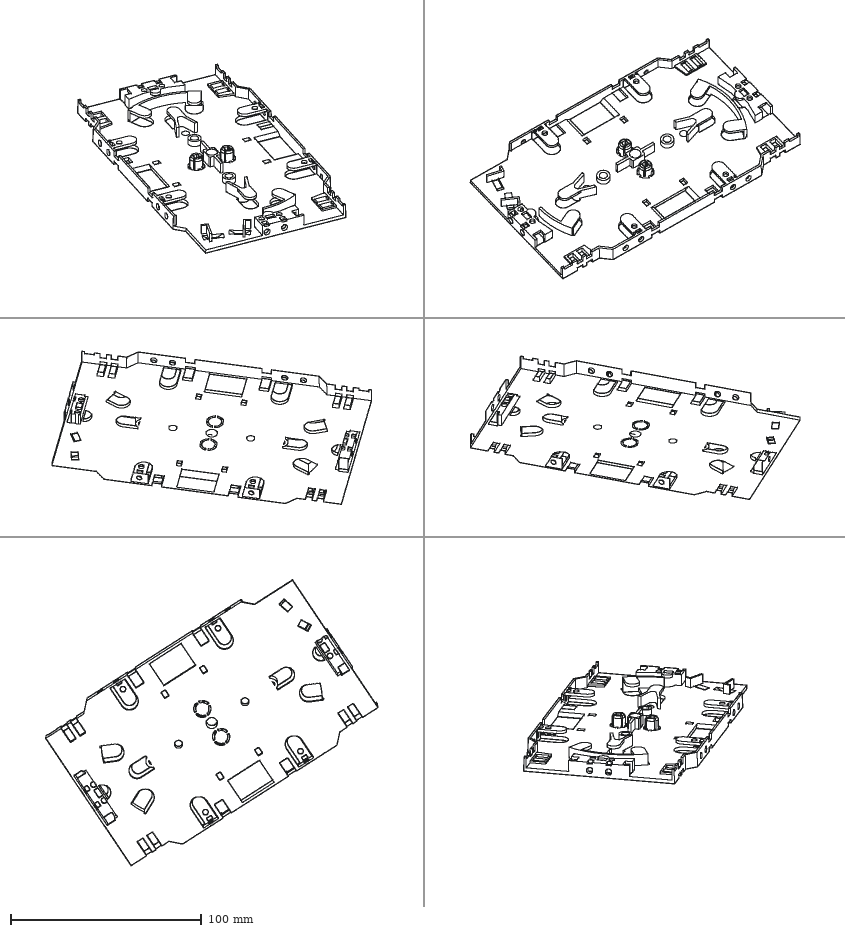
import cadquery as cq
import math

length = 155.0
width = 92.0
half_length = length / 2
half_width = width / 2
plate_thickness = 2.0
wall_top = 8.0
bump_top = 8.5

shoulder_drop = 5.1
shoulder_x = 53.6
wall_draft = 0.3
wall_thickness = 1.47
end_half_width = half_width - shoulder_drop
middle_x = shoulder_x - shoulder_drop
wall_inner_y = half_width - wall_thickness
notch_floor_z = 5.1
end_notch_floor_z = 6.7
end_notch_x = 73.5
end_notch_length = 5.3

wall_slot_x = 20.5
wall_slot_length = 5.1
wall_slot_inner_y = 37.5
window_half_length = 9.9
window_ramp = 2.3
ramp_foot_z = 0.3
window_inner_y = 30.5
small_window_x = 12.1
small_window_y = 26.4
small_window_size = (2.6, 3.7)
pin_hole_xs = (30.0, 40.07)
pin_hole_z = 3.49
pin_hole_outer_diameter = 3.4
pin_hole_inner_diameter = 2.5

tongue_thickness = 1.5
tongue_z = wall_top - tongue_thickness
tongue_x = 29.84
tongue_radius = 3.65
tongue_tip_y = 29.8
tongue_slot_radius = 4.6
tongue_hole_diameter = 3.0
tongue_hole_y = 39.5
tongue_window_size = (3.0, 1.9)
tongue_window_y = 43.5
tongue_slot_recess = 0.3
bump_diameter = 1.25
bump_x = 32.9
bump_y = 43.7

pad_top = 3.02
pad_outer_x = 69.3
pad_inner_x = 54.5
pad_taper = 1.7
pad_inner_y = 31.0
pad_slot_xs = (60.0, 66.0)
pad_slot_length = 3.5
pad_slot_ys = (32.0, 38.6)

bushing_x = 20.85
bushing_diameter = 7.0
bushing_bore = 4.2
bushing_top = 5.1
arc_radius = 42.0
arc_thickness = 1.4
arc_end_angle = 30.7
wing_angle = 25.5
wing_centre_radius = 33.6

vee_half_angle = 19.0
vee_nose_x = 37.4
vee_nose_radius = 1.9
vee_thickness = 1.5
vee_arm_length = 9.0
vee_tongue_x = 46.2
vee_slot_x = 47.0
vee_slot_radius = 4.2
vee_slot_inner_x = 38.8
dome_x = 31.6
dome_diameter = 4.2
dome_height = 0.8

hub_size = (8.2, 6.7)
hub_chamfer = 0.6
hub_bore = 5.9
hub_arm_span = 24.2
hub_arm_thickness = 1.5
post_y = 9.0
post_diameter = 7.0
post_chamfer_height = 1.2
post_chamfer_width = 0.6
post_bore = 3.0
post_slit = 0.8
post_hole_diameter = 9.0
post_spoke = 1.2

bracket_half_length = 16.5
bracket_short_end_y = -7.8
bracket_wide_x = 66.2
bracket_narrow_x = 68.2
bracket_narrow_y = 7.1
bracket_skin = 1.4
bracket_cavity_x = 69.1
bracket_mouth_x = 71.0
bracket_cavity_outer_x = half_length - bracket_skin
bracket_mouth_y = 12.5
bracket_mouth_end_y = 16.0
bracket_tab_x = 68.5
bracket_tab_diameter = 5.9
bracket_tab_hole_diameter = 8.5
bracket_hole_x = 70.91
bracket_hole_y = 5.1
bracket_hole_diameter = 3.0
bracket_window_size = (3.1, 4.8)
bracket_slot_xs = (74.0, 76.0)
bracket_slot_width = 2.8
bracket_slot_floor_z = 7.1

clip_top = 7.1
clip_hole_size = (11.3, 3.7)
clip_ramp = 2.71
clip_wall_length = 9.6
clip_wall_thickness = 1.1
clip_wall_offset = 2.3
clip_leg_length = 3.7


def block(x0, x1, y0, y1, z0, z1):
    """Box between two corners."""
    return cq.Workplane("XY").box(x1 - x0, y1 - y0, z1 - z0, centered=False).translate((x0, y0, z0))


def centred_block(x, y, size, z0, z1):
    """Box of plan size centred on (x, y)."""
    half_x = size[0] / 2
    half_y = size[1] / 2
    return block(x - half_x, x + half_x, y - half_y, y + half_y, z0, z1)


def disc(x, y, diameter, z0, z1):
    """Upright cylinder."""
    return cq.Workplane("XY").workplane(offset=z0).center(x, y).circle(diameter / 2).extrude(z1 - z0)


def prism(points, z0, z1):
    """Extruded polygon."""
    return cq.Workplane("XY").workplane(offset=z0).polyline(points).close().extrude(z1 - z0)


def round_ended(x_tip, x_root, radius, z0, z1):
    """Tongue along X, rounded about x_tip and square at x_root."""
    bar = block(min(x_tip, x_root), max(x_tip, x_root), -radius, radius, z0, z1)
    return bar.union(disc(x_tip, 0, 2 * radius, z0, z1))


def mirror_y(body):
    return body.mirror("XZ")


def both_sides(body):
    """The body together with its mirror image across Y."""
    return body.union(mirror_y(body))


def both_ends(body):
    """The body together with its mirror image across X."""
    return body.union(body.mirror("YZ"))


def edge_line(inset):
    """Points of the +Y edge from -X to +X, moved inward by inset."""
    shift = inset * math.tan(math.radians(22.5))
    left = [
        (-half_length, end_half_width - inset),
        (-shoulder_x + shift, end_half_width - inset),
        (-middle_x + shift, half_width - inset),
    ]
    return left + [(-x, y) for x, y in reversed(left)]


def full_outline(side):
    """Closed outline from the +Y edge points and their mirror image."""
    return side + [(x, -y) for x, y in reversed(side)]


def tray():
    """Plate and both side walls, with the outer faces leaning in towards the top."""
    body = (
        cq.Workplane("XY")
        .polyline(full_outline(edge_line(0)))
        .close()
        .workplane(offset=wall_top)
        .polyline(full_outline(edge_line(wall_draft)))
        .close()
        .loft(ruled=True)
    )
    return body.cut(prism(full_outline(edge_line(wall_thickness)), plate_thickness, wall_top))


def wall_notches():
    """Notches in the top of the +Y wall."""
    cuts = cq.Workplane("XY")
    y0 = end_half_width - 2 * wall_thickness
    notches = [(wall_slot_x, wall_slot_length, notch_floor_z)]
    notches += [(end_notch_x, end_notch_length, end_notch_floor_z)]
    notches += [(x, pad_slot_length, notch_floor_z) for x in pad_slot_xs]
    for x, notch_length, floor in notches:
        notch = block(x - notch_length / 2, x + notch_length / 2, y0, half_width, floor, wall_top)
        cuts = cuts.add(both_ends(notch))
    return cuts.combine()


def pin_hole(mouth, direction):
    """Tapered hole through a wall, its wide mouth on the outer face."""
    cone = cq.Solid.makeCone(
        pin_hole_outer_diameter / 2, pin_hole_inner_diameter / 2, wall_thickness, mouth, direction
    )
    return cq.Workplane(cone)


def wall_pin_holes():
    """Pin holes of the +Y wall."""
    holes = cq.Workplane("XY")
    for x in pin_hole_xs:
        hole = pin_hole(cq.Vector(x, half_width, pin_hole_z), cq.Vector(0, -1, 0))
        holes = holes.add(both_ends(hole))
    return holes.combine()


def side_openings():
    """Openings in the plate along the +Y edge."""
    slot = block(
        wall_slot_x - wall_slot_length / 2, wall_slot_x + wall_slot_length / 2,
        wall_slot_inner_y, half_width, 0, plate_thickness,
    )
    small = centred_block(small_window_x, small_window_y, small_window_size, 0, plate_thickness)
    slot_root = wall_inner_y + tongue_slot_recess
    tongue_slot = round_ended(-(tongue_tip_y + tongue_radius), -slot_root, tongue_slot_radius, 0, tongue_z)
    tongue_slot = tongue_slot.rotate((0, 0, 0), (0, 0, 1), -90).translate((tongue_x, 0, 0))
    ramp_x = window_half_length + window_ramp
    window = (
        cq.Workplane("XZ", origin=(0, wall_inner_y, 0))
        .polyline([
            (-window_half_length, 0), (window_half_length, 0), (window_half_length, ramp_foot_z),
            (ramp_x, plate_thickness), (-ramp_x, plate_thickness), (-window_half_length, ramp_foot_z),
        ])
        .close()
        .extrude(wall_inner_y - window_inner_y)
    )
    return both_ends(slot.union(small).union(tongue_slot)).union(window)


def side_tongue():
    """Tongue reaching inward from the top of the +Y wall, with its stop bump."""
    root = half_width - wall_thickness / 2
    tongue = round_ended(-(tongue_tip_y + tongue_radius), -root, tongue_radius, tongue_z, wall_top)
    tongue = tongue.rotate((0, 0, 0), (0, 0, 1), -90).translate((tongue_x, 0, 0))
    tongue = tongue.cut(disc(tongue_x, tongue_hole_y, tongue_hole_diameter, tongue_z, wall_top))
    tongue = tongue.cut(centred_block(tongue_x, tongue_window_y, tongue_window_size, tongue_z, wall_top))
    return tongue.union(disc(bump_x, bump_y, bump_diameter, tongue_z, bump_top))


def corner_pad():
    """Raised pad in the +X +Y corner."""
    wall_y = end_half_width - wall_thickness / 2
    taper_x = pad_inner_x + pad_taper
    outline = [(pad_inner_x, wall_y), (pad_outer_x, wall_y)]
    outline += [(pad_outer_x, pad_inner_y), (taper_x, pad_inner_y)]
    return prism(outline, plate_thickness, pad_top)


def corner_slots():
    """Slots of the +X +Y corner: through the pad, and out under the wall."""
    slots = cq.Workplane("XY")
    for x in pad_slot_xs:
        x0 = x - pad_slot_length / 2
        x1 = x + pad_slot_length / 2
        slots = slots.add(block(x0, x1, pad_slot_ys[0], end_half_width, 0, plate_thickness))
        slots = slots.add(block(x0, x1, pad_slot_ys[0], pad_slot_ys[1], 0, pad_top))
    return slots.combine()


def about_bushing(body, angle):
    """Turn a body about Z, then move its origin to the -X bushing axis."""
    return body.rotate((0, 0, 0), (0, 0, 1), angle).translate((-bushing_x, 0, 0))


def guide_arc(start_angle, end_angle):
    """Curved wall of the -X end; angles run from -X towards +Y."""
    def ring_point(radius, angle):
        turn = math.radians(180 - angle)
        return (radius * math.cos(turn) - bushing_x, radius * math.sin(turn))

    inner_radius = arc_radius - arc_thickness
    middle = (start_angle + end_angle) / 2
    return (
        cq.Workplane("XY")
        .moveTo(*ring_point(arc_radius, start_angle))
        .threePointArc(ring_point(arc_radius, middle), ring_point(arc_radius, end_angle))
        .lineTo(*ring_point(inner_radius, end_angle))
        .threePointArc(ring_point(inner_radius, middle), ring_point(inner_radius, start_angle))
        .close()
        .extrude(wall_top)
    )


def wing(radius, z0, z1):
    """Tongue of the -X +Y guide, ending inside the curved wall."""
    bar = round_ended(-wing_centre_radius, -arc_radius, radius, z0, z1)
    bar = about_bushing(bar, -wing_angle)
    return bar.intersect(disc(-bushing_x, 0, 2 * (arc_radius - arc_thickness / 2), z0, z1))


def vee_side(radius):
    """Upper tangent point of the nose circle and the arm tip reached from it."""
    slope = math.radians(vee_half_angle)
    tangent = (-vee_nose_x - radius * math.sin(slope), radius * math.cos(slope))
    tip = (tangent[0] + vee_arm_length * math.cos(slope), tangent[1] + vee_arm_length * math.sin(slope))
    return tangent, tip


def vee_region(radius, z0, z1):
    """Filled vee with a rounded nose, pointing to -X."""
    tangent, tip = vee_side(radius)
    return (
        cq.Workplane("XY").workplane(offset=z0)
        .moveTo(tip[0], -tip[1])
        .lineTo(tangent[0], -tangent[1])
        .threePointArc((-vee_nose_x - radius, 0), tangent)
        .lineTo(*tip)
        .close()
        .extrude(z1 - z0)
    )


def vee_guide():
    """Vee wall with a tongue reaching out to -X, and the dome inside it."""
    outer_radius = vee_nose_radius + vee_thickness
    inner_tip = vee_side(vee_nose_radius)[1]
    outer_tip = vee_side(outer_radius)[1]
    tips = [inner_tip, outer_tip, (outer_tip[0], -outer_tip[1]), (inner_tip[0], -inner_tip[1])]
    mouth = prism(tips, 0, wall_top)
    guide = vee_region(outer_radius, 0, wall_top)
    guide = guide.union(round_ended(-vee_tongue_x, -vee_nose_x, outer_radius, tongue_z, wall_top))
    guide = guide.cut(vee_region(vee_nose_radius, 0, wall_top)).cut(mouth)
    return guide.union(dome())


def dome():
    base_radius = dome_diameter / 2
    sphere_radius = (base_radius**2 + dome_height**2) / (2 * dome_height)
    top = plate_thickness + dome_height
    ball = cq.Workplane("XY").sphere(sphere_radius).translate((-dome_x, 0, top - sphere_radius))
    return ball.intersect(disc(-dome_x, 0, dome_diameter, plate_thickness / 2, top))


def hub():
    body = centred_block(0, 0, hub_size, 0, wall_top).edges("|Z").chamfer(hub_chamfer)
    arms = centred_block(0, 0, (hub_arm_span, hub_arm_thickness), 0, wall_top)
    return body.union(arms)


def split_post():
    """Post cut into four by diagonal slits, held in its hole by four spokes."""
    post = disc(0, 0, post_diameter, 0, wall_top)
    post = post.faces(">Z").chamfer(post_chamfer_height, post_chamfer_width)
    post = post.cut(disc(0, 0, post_bore, plate_thickness, wall_top))
    for angle in (45, 135):
        slit = centred_block(0, 0, (post_diameter, post_slit), plate_thickness, wall_top)
        post = post.cut(slit.rotate((0, 0, 0), (0, 0, 1), angle))
    span = post_hole_diameter + post_spoke
    for size in ((span, post_spoke), (post_spoke, span)):
        post = post.union(centred_block(0, 0, size, 0, plate_thickness))
    return post.translate((0, post_y, 0))


def bracket():
    """Hollow bracket of the +X end with a rounded tab."""
    corner = [(bracket_narrow_x, bracket_narrow_y), (bracket_wide_x, bracket_half_length)]
    outline = [(half_length, bracket_half_length), (half_length, -bracket_half_length)]
    outline += [(x, -y) for x, y in reversed(corner)] + corner
    body = prism(outline, plate_thickness, wall_top)
    body = body.union(disc(bracket_tab_x, 0, bracket_tab_diameter, tongue_z, wall_top))
    mouth = block(
        bracket_mouth_x, bracket_cavity_outer_x,
        bracket_mouth_y, bracket_half_length,
        plate_thickness, wall_top,
    )
    return body.cut(both_sides(mouth))


def bracket_cavity(y0):
    """Hollow under the +X bracket top from y0 to the +Y end wall, open through the plate."""
    y1 = bracket_half_length - bracket_skin
    return block(bracket_cavity_x, bracket_cavity_outer_x, y0, y1, 0, tongue_z)


def bracket_mouth_hole():
    """Plate opening below the +Y mouth of the +X bracket."""
    return block(
        bracket_mouth_x, bracket_cavity_outer_x, bracket_mouth_y, bracket_mouth_end_y, 0, plate_thickness
    )


def bracket_openings():
    """Holes of the +X bracket that also pass through the plate."""
    cuts = centred_block(bracket_hole_x, 0, bracket_window_size, 0, wall_top)
    half_slot = bracket_slot_width / 2
    for y in (-bracket_hole_y, bracket_hole_y):
        y0 = y - half_slot
        y1 = y + half_slot
        cuts = cuts.union(disc(bracket_hole_x, y, bracket_hole_diameter, 0, wall_top))
        cuts = cuts.union(block(*bracket_slot_xs, y0, y1, 0, wall_top))
        cuts = cuts.union(block(bracket_slot_xs[0], half_length, y0, y1, bracket_slot_floor_z, wall_top))
        cuts = cuts.union(pin_hole(cq.Vector(half_length, y, pin_hole_z), cq.Vector(-1, 0, 0)))
    return cuts


def bracket_tab_hole():
    """Plate opening below the +X tab."""
    hole = disc(bracket_tab_x, 0, bracket_tab_hole_diameter, 0, plate_thickness)
    return hole.intersect(block(0, bracket_narrow_x, -half_width, half_width, 0, plate_thickness))


def clip_hole():
    """Opening along X whose short ends slope outward to the top."""
    half_top = clip_hole_size[0] / 2
    half_bottom = half_top - clip_ramp
    return (
        cq.Workplane("XZ", origin=(0, clip_hole_size[1] / 2, 0))
        .polyline([
            (-half_bottom, 0), (half_bottom, 0), (half_bottom, ramp_foot_z),
            (half_top, plate_thickness), (-half_top, plate_thickness), (-half_bottom, ramp_foot_z),
        ])
        .close()
        .extrude(clip_hole_size[1])
    )


def clip_wall():
    """L-shaped wall across the opening, its leg pointing to +X."""
    half = clip_wall_length / 2
    x0 = clip_wall_offset - clip_wall_thickness / 2
    across = block(x0, x0 + clip_wall_thickness, -half, half, plate_thickness, clip_top)
    leg = block(x0, x0 + clip_leg_length, half - clip_wall_thickness, half, plate_thickness, clip_top)
    return across.union(leg)


def place(body, spot):
    x, y, angle = spot
    return body.rotate((0, 0, 0), (0, 0, 1), angle).translate((x, y, 0))


result = tray().cut(both_sides(wall_notches()))
open_corner = block(middle_x, half_length, -half_width, 0, plate_thickness, wall_top)
result = result.cut(open_corner)

pad = corner_pad()
slots = corner_slots()
left_pads = both_sides(pad.mirror("YZ"))
left_slots = both_sides(slots.mirror("YZ"))
result = result.union(pad).union(left_pads).cut(slots).cut(left_slots)

result = result.cut(both_sides(side_openings()))
result = result.union(both_sides(both_ends(side_tongue())))
result = result.cut(both_sides(wall_pin_holes()))

wing_slot = wing(tongue_slot_radius, 0, plate_thickness)
wing_tongue = wing(tongue_radius, tongue_z, wall_top)
result = result.cut(both_sides(wing_slot)).cut(wing_slot.mirror("YZ"))
result = result.union(guide_arc(-arc_end_angle, arc_end_angle)).union(both_sides(wing_tongue))
result = result.union(guide_arc(0, arc_end_angle).union(wing_tongue).mirror("YZ"))

vee_slot = round_ended(-vee_slot_x, -vee_slot_inner_x, vee_slot_radius, 0, plate_thickness)
result = result.cut(both_ends(vee_slot)).union(both_ends(vee_guide()))

for x in (-bushing_x, bushing_x):
    result = result.union(disc(x, 0, bushing_diameter, 0, bushing_top))
    result = result.cut(disc(x, 0, bushing_bore, 0, bushing_top))
result = result.union(hub()).cut(disc(0, 0, hub_bore, 0, wall_top))
result = result.cut(both_sides(disc(0, post_y, post_hole_diameter, 0, plate_thickness)))
result = result.union(both_sides(split_post()))

full_cavity = bracket_cavity(bracket_skin - bracket_half_length)
full_cuts = full_cavity.union(both_sides(bracket_mouth_hole())).union(bracket_openings())
keep = block(0, half_length, bracket_short_end_y, half_width, 0, wall_top)
short_cavity = bracket_cavity(bracket_short_end_y + bracket_skin).union(bracket_mouth_hole())
short_cuts = short_cavity.union(bracket_openings().intersect(keep))
result = result.cut(both_ends(bracket_tab_hole()))
result = result.union(bracket().intersect(keep)).cut(short_cuts)
result = result.union(bracket().mirror("YZ")).cut(full_cuts.mirror("YZ"))

upper_clip = (69.5, -17.0, 61.7)
lower_clip = (67.1, -31.5, 255.7)
result = result.cut(place(clip_hole(), upper_clip)).union(place(clip_wall(), upper_clip))
result = result.cut(place(clip_hole(), lower_clip)).union(place(mirror_y(clip_wall()), lower_clip))